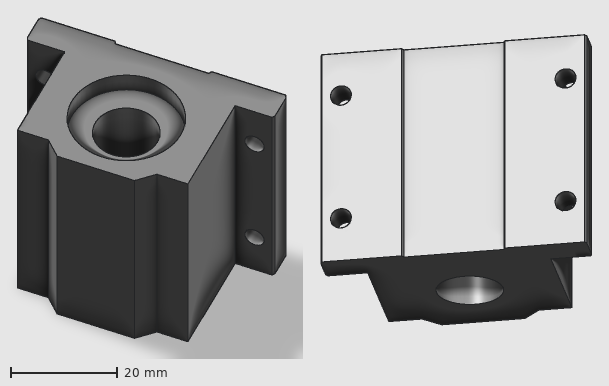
import cadquery as cq
import math

width = 50.8
height = 42.9
depth = 31.75

flange_thickness = 6.35
chamfer_depth = 0.6
chamfer_angle = 30.0
chamfer_width = chamfer_depth * math.tan(math.radians(chamfer_angle))

relief_width = 19.1

body_width = 34.95
nose_projection = 3.2
nose_base_width = 22.25
nose_tip_width = nose_base_width - 2 * nose_projection
body_front = -(depth - nose_projection)

bore_diameter = 12.7
counterbore_diameter = 22.25
counterbore_depth = 3.95
bore_y = (body_front - flange_thickness) / 2

mount_diameter = 3.95
mount_spacing_x = 42.9
mount_spacing_z = 25.4


def make_block():
    """Extrude the whole cross-section, mirrored from its +X half."""
    half_outline = [
        (0, -chamfer_depth),
        (relief_width / 2, -chamfer_depth),
        (relief_width / 2 + chamfer_width, 0),
        (width / 2 - chamfer_width, 0),
        (width / 2, -chamfer_depth),
        (width / 2, -flange_thickness + chamfer_depth),
        (width / 2 - chamfer_width, -flange_thickness),
        (body_width / 2, -flange_thickness),
        (body_width / 2, body_front),
        (nose_base_width / 2, body_front),
        (nose_tip_width / 2, -depth),
        (0, -depth),
    ]
    return (
        cq.Workplane("XY")
        .workplane(offset=-height / 2)
        .polyline(half_outline)
        .mirrorY()
        .extrude(height)
    )


def make_bore():
    """Through bore with a counterbore in the top face."""
    top = cq.Workplane("XY").workplane(offset=height / 2).center(0, bore_y)
    bore = top.circle(bore_diameter / 2).extrude(-height)
    counterbore = top.circle(counterbore_diameter / 2).extrude(-counterbore_depth)
    return bore.union(counterbore)


def make_mount_holes():
    """Four holes through the flange, along Y."""
    return (
        cq.Workplane("XZ")
        .rarray(mount_spacing_x, mount_spacing_z, 2, 2)
        .circle(mount_diameter / 2)
        .extrude(flange_thickness)
    )


result = make_block().cut(make_bore()).cut(make_mount_holes())